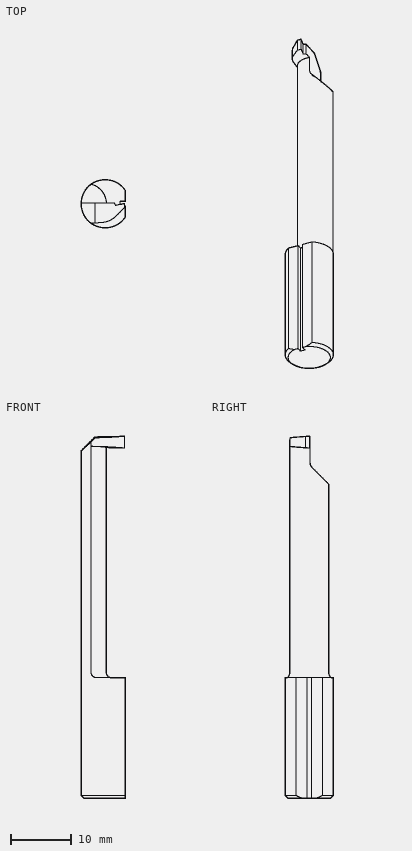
import cadquery as cq
import math

total_length = 60.0
shank_radius = 4.0
shank_length = 20.0
flat_x = 3.35
end_chamfer = 0.5
slot_width = 0.8
slot_floor_x = 2.45

neck_edge_x = -2.34
neck_front_x = 0.2
shoulder_fillet = 0.85

rake_y = 0.16
rake_corner_z = 55.1
runout_fillet = 1.2

head_width = 2.0
tip_x = 3.22
tip_y = 0.08
land_y = -0.6
flank_end_x = 1.74
arc_end_x = -0.41
flank_angle = math.radians(45)
heel_angle = math.radians(5)
clearance_angle = 3.0
clearance = math.tan(math.radians(clearance_angle))
back_taper = math.tan(math.radians(1.5))
heel_chamfer = 2.3

breaker_start_x = 1.48
breaker_floor_x = 1.72
breaker_floor_y = -0.27

margin = 2 * shank_radius


def make_shank_bar():
    bar = cq.Workplane("XY").circle(shank_radius).extrude(total_length)
    bar = bar.faces("<Z").chamfer(end_chamfer)
    flat = cq.Workplane("XY").box(margin, 2 * margin, total_length, centered=(False, True, False))
    return bar.cut(flat.translate((flat_x, 0, 0)))


def make_coolant_slot():
    slot = cq.Workplane("XY").box(margin, slot_width, shank_length, centered=(False, True, False))
    return slot.translate((slot_floor_x, 0, 0))


def make_neck_envelope():
    """Revolved body that bounds the neck, flaring into the shoulder through a fillet."""
    half_chord = math.sqrt(shank_radius**2 - neck_edge_x**2)
    sagitta = neck_front_x - neck_edge_x
    radius = (half_chord**2 + sagitta**2) / (2 * sagitta)
    axis_x = neck_front_x - radius
    reach = shank_radius + margin
    diagonal = shoulder_fillet * (1 - math.sqrt(0.5))
    profile = (
        cq.Workplane("XZ")
        .moveTo(0, 0)
        .lineTo(reach, 0)
        .lineTo(reach, shank_length)
        .lineTo(radius + shoulder_fillet, shank_length)
        .threePointArc(
            (radius + diagonal, shank_length + diagonal),
            (radius, shank_length + shoulder_fillet),
        )
        .lineTo(radius, total_length)
        .lineTo(0, total_length)
        .close()
    )
    return profile.revolve(360, (0, 0, 0), (0, 1, 0)).translate((axis_x, 0, 0))


def make_head_envelope():
    """Plan outline of the head, sloped underneath and on top for clearance."""
    flank_end_y = land_y - (tip_x - flank_end_x) * math.tan(flank_angle)
    chord_angle = (flank_angle + heel_angle) / 2
    arc_end_y = flank_end_y - (flank_end_x - arc_end_x) * math.tan(chord_angle)
    heel_y = arc_end_y - (arc_end_x + shank_radius) * math.tan(heel_angle)
    plan = (
        cq.Workplane("XY")
        .moveTo(-shank_radius, rake_y)
        .lineTo(breaker_start_x, rake_y)
        .lineTo(breaker_floor_x, breaker_floor_y)
        .lineTo(tip_x, tip_y)
        .lineTo(tip_x, land_y)
        .lineTo(flank_end_x, flank_end_y)
        .tangentArcPoint((arc_end_x, arc_end_y), relative=False)
        .lineTo(-shank_radius, heel_y)
        .close()
        .extrude(total_length)
    )
    slab = cq.Solid.makeLoft([make_head_section(-shank_radius), make_head_section(tip_x)], True)
    return plan.intersect(cq.Workplane(slab))


def make_head_section(x):
    """Side section of the head at one x, thinner away from the tip and tilted by the clearance."""
    taper = (tip_x - x) * back_taper
    top_z = total_length - taper
    bottom_z = total_length - head_width + taper
    front_shift = (shank_radius + tip_y) * clearance
    rake_shift = (rake_y - tip_y) * clearance
    corners = [
        (x, -shank_radius, bottom_z + front_shift),
        (x, rake_y, bottom_z - rake_shift),
        (x, rake_y, top_z + rake_shift),
        (x, -shank_radius, top_z - front_shift),
    ]
    return cq.Wire.makePolygon([cq.Vector(*corner) for corner in corners], close=True)


def make_rake_cut():
    """Material behind the rake flat, ending on a filleted 45 degree run-out."""
    cutter = (
        cq.Workplane("YZ")
        .moveTo(rake_y, total_length)
        .lineTo(rake_y, rake_corner_z)
        .lineTo(rake_y + margin, rake_corner_z - margin)
        .lineTo(rake_y + margin, total_length)
        .close()
        .extrude(margin, both=True)
    )
    corner = cq.selectors.NearestToPointSelector((0, rake_y, rake_corner_z))
    return cutter.edges("|X").edges(corner).fillet(runout_fillet)


def make_heel_chamfer():
    """45 degree cut across the heel, leaning by the same clearance as the top of the head."""
    top_x = heel_chamfer - shank_radius
    top_z = total_length - (tip_x - top_x) * back_taper
    cutter = (
        cq.Workplane("XZ")
        .moveTo(top_x, top_z)
        .lineTo(top_x - margin, top_z)
        .lineTo(top_x - margin, top_z - margin)
        .close()
        .extrude(margin, both=True)
    )
    return cutter.rotate((0, tip_y, top_z), (1, tip_y, top_z), clearance_angle)


def make_neck_top_cut():
    """Neck material above mid height of the head, where only the head remains."""
    top_z = total_length - head_width / 2
    cutter = cq.Workplane("XY").box(2 * margin, 2 * margin, head_width, centered=(True, True, False))
    return cutter.translate((0, 0, top_z))


bar = make_shank_bar()
neck_and_shank = bar.intersect(make_neck_envelope()).cut(make_coolant_slot())
neck_and_shank = neck_and_shank.cut(make_rake_cut()).cut(make_neck_top_cut())
head = bar.intersect(make_head_envelope())
result = neck_and_shank.union(head).cut(make_heel_chamfer())